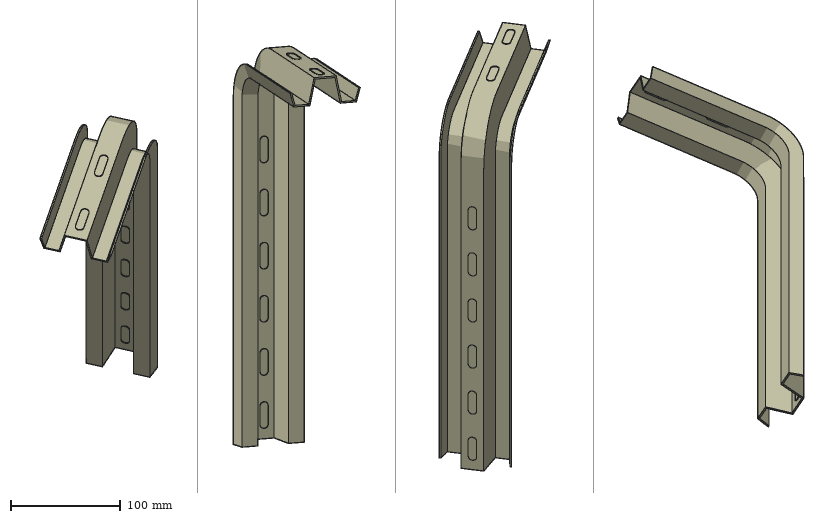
import cadquery as cq
import math

HEIGHT = 378.7
REACH = 169.5
WIDTH = 68.0
SHEET = 1.5

DEPTH = 26.0
LIP_HEIGHT = 13.3
CROWN_HALF_WIDTH = 10.8
WALL_SPREAD_PER_DEPTH = 0.21
LIP_FOOT_HALF_WIDTH = 30.3

BEND_RADIUS = 51.5

SLOT_LENGTH = 25.0
SLOT_WIDTH = 8.0
SLOT_RECESS = SHEET / 2
END_TO_SLOT = 22.5
LEG_SLOT_COUNT = 6
LEG_SLOT_PITCH = 50.0
ARM_SLOT_COUNT = 2
ARM_SLOT_PITCH = 64.5

FLANGE_TOP = DEPTH - SHEET
LIP_TIP = DEPTH - LIP_HEIGHT
LIP_SPREAD_PER_DEPTH = (WIDTH / 2 - LIP_FOOT_HALF_WIDTH) / LIP_HEIGHT
WALL_ACROSS = SHEET * math.hypot(1, WALL_SPREAD_PER_DEPTH)
LIP_ACROSS = SHEET * math.hypot(1, LIP_SPREAD_PER_DEPTH)


def wall_outside(depth):
    """Half width of the hat's outer wall at a depth below the crown."""
    return CROWN_HALF_WIDTH + WALL_SPREAD_PER_DEPTH * depth


def wall_inside(depth):
    return wall_outside(depth) - WALL_ACROSS


def lip_inside(depth):
    """Half width of the lip face that looks toward the hat."""
    outer_face = WIDTH / 2 - LIP_SPREAD_PER_DEPTH * (depth - LIP_TIP)
    return outer_face - LIP_ACROSS


def hat_section():
    """Hat section of the leg, drawn at its foot with the crown on Y = 0."""
    right_half = [
        (wall_outside(0), 0),
        (wall_outside(FLANGE_TOP), FLANGE_TOP),
        (lip_inside(FLANGE_TOP), FLANGE_TOP),
        (lip_inside(LIP_TIP), LIP_TIP),
        (WIDTH / 2, LIP_TIP),
        (LIP_FOOT_HALF_WIDTH, DEPTH),
        (wall_inside(DEPTH), DEPTH),
        (wall_inside(SHEET), SHEET),
    ]
    right = [(x, -depth) for x, depth in right_half]
    left = [(-x, y) for x, y in reversed(right)]
    return cq.Workplane("XY").polyline(right + left).close()


def bent_channel():
    """Hat section carried up the leg, round the bend and out along the arm."""
    bend_start = HEIGHT - BEND_RADIUS
    bend_middle = BEND_RADIUS * math.sqrt(0.5)
    path = (
        cq.Workplane("YZ")
        .lineTo(0, bend_start)
        .threePointArc(
            (bend_middle - BEND_RADIUS, bend_start + bend_middle),
            (-BEND_RADIUS, HEIGHT),
        )
        .lineTo(-REACH, HEIGHT)
    )
    return hat_section().sweep(path)


def leg_slots():
    """Recesses in the inner face of the leg's crown."""
    centres = [(0, END_TO_SLOT + i * LEG_SLOT_PITCH) for i in range(LEG_SLOT_COUNT)]
    return (
        cq.Workplane("XZ", origin=(0, -SHEET, 0))
        .pushPoints(centres)
        .slot2D(SLOT_LENGTH, SLOT_WIDTH, angle=90)
        .extrude(-SLOT_RECESS)
    )


def arm_slots():
    """Recesses in the outer face of the arm's crown."""
    centres = [(0, END_TO_SLOT - REACH + i * ARM_SLOT_PITCH) for i in range(ARM_SLOT_COUNT)]
    return (
        cq.Workplane("XY", origin=(0, 0, HEIGHT))
        .pushPoints(centres)
        .slot2D(SLOT_LENGTH, SLOT_WIDTH, angle=90)
        .extrude(-SLOT_RECESS)
    )


result = bent_channel().cut(leg_slots()).cut(arm_slots())